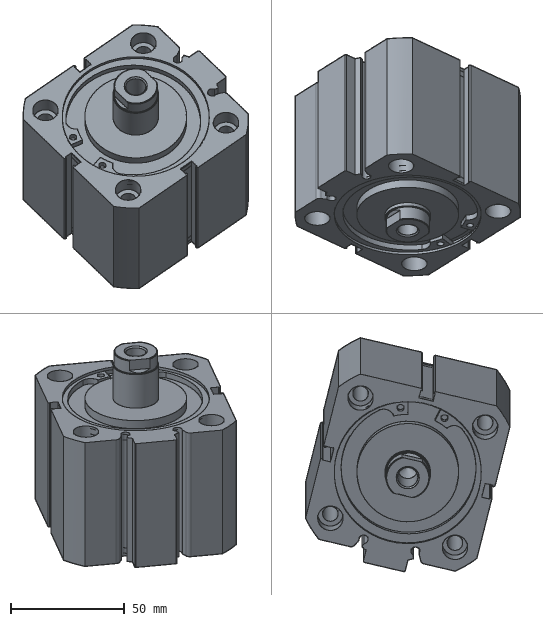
import cadquery as cq
import math


body_width = 77.5
body_half = body_width / 2
body_top = 23.0
body_height = 60.7
body_bottom = body_top - body_height
body_middle = (body_top + body_bottom) / 2
corner_radius = 49.5

slot_depth = 4.5
slot_half_width = 3.2
slot_lip_depth = 1.0
slot_mouth_half_width = 2.6
slot_mouth_chamfer = 0.55

rail_half_width = 9.5
rail_top = 44.25
rail_chamfer = 0.5
rail_groove_x = 11.7
rail_groove_y = 34.0
rail_groove_radius = 1.9
rail_nub_x = rail_groove_x
rail_nub_y = 37.5
rail_neck_x = 11.0
rail_wall_top = 35.1
rail_round_start = (14.8, 37.4)
rail_round_middle = (15.55, 38.4)
rail_round_end_x = 16.7

mount_half_pitch = 28.15
mount_diameter = 6.8
counterbore_diameter = 11.1
counterbore_depth = 7.4

bore_radius = 32.3
ring_depth = 1.3
ring_thickness = 2.7
groove_wall = 0.23
groove_radius = body_half - slot_depth - groove_wall

ring_opening_radius = 29.6
ring_opening_offset = 1.5
ring_gap_half_angle = 13.5
lug_inner_radius = 26.2
lug_hole_position = (9.9, -27.6)
lug_hole_diameter = 3.0
relief_angle = 37.3

cover_depth = ring_depth + ring_thickness
cover_thickness = 9.2
boss_radius = 22.4

rod_length = 92.0
rod_end = rod_length / 2
rod_radius = 10.0
neck_radius = 9.6
neck_length = 6.3
tip_chamfer = 0.32
shoulder_chamfer = 0.32
flat_half_width = 8.4
flat_length = 4.9
rod_hole_radius = 4.4
rod_hole_depth = 14.7
rod_hole_chamfer = 0.6
drill_half_angle = 59.0


def cylinder(radius, z_start, z_end):
    return cq.Workplane("XY").workplane(offset=z_start).circle(radius).extrude(z_end - z_start)


def at_both_ends(shape):
    """A shape at the top of the housing and its mirror image at the bottom."""
    return [shape, shape.mirror("XY", (0, 0, body_middle))]


def on_circle(radius, angle):
    """Point at an angle in degrees from -Y, turning toward +X."""
    turn = math.radians(angle)
    return radius * math.sin(turn), -radius * math.cos(turn)


def housing_prism(sketch):
    return sketch.extrude(body_height)


def housing_plane():
    return cq.Workplane("XY").workplane(offset=body_bottom)


def sensor_slot():
    """Undercut slot in the -Y side."""
    floor = -body_half + slot_depth
    lip = -body_half + slot_lip_depth
    half_profile = [
        (slot_half_width, floor),
        (slot_half_width, lip),
        (slot_mouth_half_width, lip),
        (slot_mouth_half_width, -body_half + slot_mouth_chamfer),
        (slot_mouth_half_width + slot_mouth_chamfer, -body_half),
    ]
    mirrored = [(-x, y) for x, y in reversed(half_profile)]
    return housing_prism(housing_plane().polyline(half_profile + mirrored).close())


def rail_flank():
    """Open channel on the +X flank of the rail, with its round groove at the bottom."""
    neck_y = rail_groove_y + math.sqrt(rail_groove_radius**2 - (rail_neck_x - rail_groove_x) ** 2)
    wall_x = rail_groove_x + rail_groove_radius
    profile = (
        housing_plane()
        .moveTo(rail_half_width, body_half)
        .lineTo(rail_nub_x, rail_nub_y)
        .lineTo(rail_neck_x, neck_y)
        .lineTo(rail_groove_x, rail_groove_y)
        .lineTo(wall_x, rail_groove_y)
        .lineTo(wall_x, rail_wall_top)
        .lineTo(*rail_round_start)
        .threePointArc(rail_round_middle, (rail_round_end_x, body_half))
        .close()
    )
    groove = housing_plane().center(rail_groove_x, rail_groove_y).circle(rail_groove_radius)
    return housing_prism(profile).union(housing_prism(groove))


def make_rail():
    """Rail on the +Y side, reaching down into the housing body."""
    rail_height = rail_top - rail_groove_y
    outline = housing_plane().center(0, rail_top - rail_height / 2).rect(2 * rail_half_width, rail_height)
    return housing_prism(outline).edges("|Z and >Y").chamfer(rail_chamfer)


def mount_cylinders(diameter, z_start, height):
    """Cylinders on the four mounting hole axes."""
    pitch = 2 * mount_half_pitch
    plane = cq.Workplane("XY").workplane(offset=z_start)
    return plane.rect(pitch, pitch, forConstruction=True).vertices().circle(diameter / 2).extrude(height)


def make_housing():
    body = housing_prism(housing_plane().rect(body_width, body_width))
    body = body.intersect(housing_prism(housing_plane().circle(corner_radius)))

    flank = rail_flank()
    body = body.union(make_rail()).cut(flank).cut(flank.mirror("YZ"))

    for turn in (-90, 0, 90):
        body = body.cut(sensor_slot().rotate((0, 0, 0), (0, 0, 1), turn))

    body = body.cut(mount_cylinders(mount_diameter, body_bottom, body_height))
    counterbores = mount_cylinders(counterbore_diameter, body_top - counterbore_depth, counterbore_depth)
    for counterbore in at_both_ends(counterbores):
        body = body.cut(counterbore)

    body = body.cut(cylinder(bore_radius, body_bottom, body_top))
    for groove in at_both_ends(cylinder(groove_radius, body_top - cover_depth, body_top - ring_depth)):
        body = body.cut(groove)
    return body


def make_ring():
    """Retaining ring below the top face, with its gap and two drilled lugs on the -Y side."""
    plane = cq.Workplane("XY").workplane(offset=body_top - cover_depth)

    relief_center = on_circle(lug_inner_radius, relief_angle)
    relief_reach = math.hypot(relief_center[0], relief_center[1] + ring_opening_offset)
    relief_radius = ring_opening_radius - relief_reach

    opening = plane.center(0, -ring_opening_offset).circle(ring_opening_radius).extrude(ring_thickness)
    lugs = (
        plane.moveTo(*on_circle(lug_inner_radius, -relief_angle))
        .threePointArc(on_circle(lug_inner_radius, 0), on_circle(lug_inner_radius, relief_angle))
        .lineTo(*on_circle(groove_radius, relief_angle))
        .threePointArc(on_circle(groove_radius, 0), on_circle(groove_radius, -relief_angle))
        .close()
        .extrude(ring_thickness)
    )
    ring = plane.circle(groove_radius).extrude(ring_thickness).cut(opening.cut(lugs))

    gap_reach = 2 * groove_radius
    gap = (
        plane.moveTo(0, 0)
        .lineTo(*on_circle(gap_reach, -ring_gap_half_angle))
        .lineTo(*on_circle(gap_reach, ring_gap_half_angle))
        .close()
        .extrude(ring_thickness)
    )
    ring = ring.cut(gap)

    for side in (-1, 1):
        relief = plane.center(side * relief_center[0], relief_center[1]).circle(relief_radius)
        ring = ring.cut(relief.extrude(ring_thickness))
        hole = plane.center(side * lug_hole_position[0], lug_hole_position[1]).circle(lug_hole_diameter / 2)
        ring = ring.cut(hole.extrude(ring_thickness))
    return ring


def make_cover():
    """End cover below the top ring, its boss flush with the housing face."""
    seat = body_top - cover_depth
    flange = cylinder(bore_radius, seat - cover_thickness, seat)
    boss = cylinder(boss_radius, seat, body_top)
    return flange.union(boss).cut(cylinder(rod_radius, seat - cover_thickness, body_top))


def make_rod():
    neck_start = rod_end - neck_length
    tip_radius = neck_radius - tip_chamfer
    hole_mouth_radius = rod_hole_radius + rod_hole_chamfer
    hole_bottom = rod_end - rod_hole_depth
    hole_point = hole_bottom - rod_hole_radius / math.tan(math.radians(drill_half_angle))
    half_profile = [
        (0, 0),
        (rod_radius, 0),
        (rod_radius, neck_start - shoulder_chamfer),
        (rod_radius - shoulder_chamfer, neck_start),
        (neck_radius, neck_start),
        (neck_radius, rod_end - tip_chamfer),
        (tip_radius, rod_end),
        (hole_mouth_radius, rod_end),
        (rod_hole_radius, rod_end - rod_hole_chamfer),
        (rod_hole_radius, hole_bottom),
        (0, hole_point),
    ]
    half_rod = cq.Workplane("XZ").polyline(half_profile).close().revolve(360, (0, 0), (0, 1))

    flat_start = rod_end - flat_length
    flat_depth = rod_radius - flat_half_width
    flat_profile = [
        (flat_half_width, rod_end),
        (flat_half_width, flat_start),
        (rod_radius, flat_start - flat_depth),
        (rod_radius, rod_end),
    ]
    flat = cq.Workplane("YZ").polyline(flat_profile).close().extrude(rod_radius, both=True)
    half_rod = half_rod.cut(flat).cut(flat.mirror("XZ"))
    return half_rod.union(half_rod.mirror("XY"))


housing = make_housing()
rod = make_rod()
covers = at_both_ends(make_cover())
rings = at_both_ends(make_ring())

result = cq.Compound.makeCompound(
    [
        housing.solids().val(),
        rod.solids().val(),
        *[cover.solids().val() for cover in covers],
        *[ring.solids().val() for ring in rings],
    ]
)